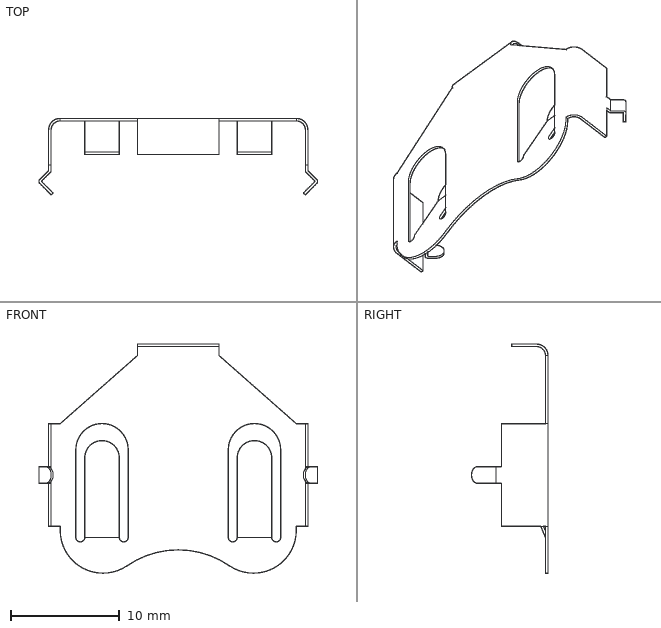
import cadquery as cq
import math


sheet = 0.25
bend_radius = 1.07

half_width = 11.95
plate_half_width = half_width - bend_radius
lobe_radius = 3.95
lobe_x = plate_half_width - lobe_radius
overall_height = 21.12
top_z = overall_height - lobe_radius
plate_top_z = top_z - bend_radius
waist_radius = 8.3

lip_half_width = 3.77
lip_depth = 3.35

wall_height = 9.45
wall_bottom_z = 0.38
wall_top_z = wall_bottom_z + wall_height
wall_depth = 4.3

tail_height = 1.55
tail_z = (wall_bottom_z + wall_top_z) / 2
tail_half_span = 12.845
tail_bend_depth = 4.81
tail_depth = 7.06

finger_x = 7.02
finger_half_width = 1.6
finger_gap = 0.8
finger_base_z = -0.65
finger_bend_z = 6.68
finger_depth = 3.35
slot_radius = finger_half_width + finger_gap
slot_top_z = wall_top_z


def both_sides(body):
    """The body together with its mirror image across X = 0."""
    return body.union(body.mirror("YZ"))


def plate():
    """Flat back plate with chamfered shoulders and two tangent-joined lobes."""
    centre_distance = waist_radius + lobe_radius
    waist_centre_z = -math.sqrt(centre_distance**2 - lobe_x**2)
    tangent_share = lobe_radius / centre_distance
    tangent_x = lobe_x * (1 - tangent_share)
    tangent_z = waist_centre_z * tangent_share
    return (
        cq.Workplane("XZ")
        .moveTo(-lip_half_width, plate_top_z)
        .lineTo(lip_half_width, plate_top_z)
        .lineTo(plate_half_width, wall_top_z)
        .lineTo(plate_half_width, 0)
        .threePointArc((lobe_x, -lobe_radius), (tangent_x, tangent_z))
        .threePointArc((0, waist_centre_z + waist_radius), (-tangent_x, tangent_z))
        .threePointArc((-lobe_x, -lobe_radius), (-plate_half_width, 0))
        .lineTo(-plate_half_width, wall_top_z)
        .close()
        .extrude(sheet)
    )


def finger_slot():
    """Round-topped slot whose two legs run down beside the finger."""
    leg_radius = finger_gap / 2
    arch_centre_z = slot_top_z - slot_radius
    left = finger_x - slot_radius
    right = finger_x + slot_radius
    finger_left = finger_x - finger_half_width
    finger_right = finger_x + finger_half_width
    leg_end_z = finger_base_z - leg_radius
    return (
        cq.Workplane("XZ")
        .moveTo(left, finger_base_z)
        .lineTo(left, arch_centre_z)
        .threePointArc((finger_x, slot_top_z), (right, arch_centre_z))
        .lineTo(right, finger_base_z)
        .threePointArc((right - leg_radius, leg_end_z), (finger_right, finger_base_z))
        .lineTo(finger_left, finger_base_z)
        .threePointArc((left + leg_radius, leg_end_z), (left, finger_base_z))
        .close()
        .extrude(sheet)
    )


def bent_strip(workplane, edge, depth):
    """Quarter bend and straight leg in (across, Y); edge is the outer face position."""
    inner_radius = bend_radius - sheet
    bend_start = edge - bend_radius
    diagonal = math.sqrt(0.5)
    outer_mid = bend_radius * diagonal
    inner_mid = inner_radius * diagonal
    return (
        workplane
        .moveTo(bend_start, 0)
        .threePointArc((bend_start + outer_mid, outer_mid - bend_radius), (edge, -bend_radius))
        .lineTo(edge, -depth)
        .lineTo(edge - sheet, -depth)
        .lineTo(edge - sheet, -bend_radius)
        .threePointArc((bend_start + inner_mid, inner_mid - bend_radius), (bend_start, -sheet))
        .close()
    )


def top_lip():
    """Lip bent forward along the top edge of the plate."""
    profile_plane = cq.Workplane(cq.Plane((-lip_half_width, 0, 0), (0, 0, 1), (-1, 0, 0)))
    return bent_strip(profile_plane, top_z, lip_depth).extrude(-2 * lip_half_width)


def side_wall():
    """Wall bent forward along the +X edge of the plate."""
    profile_plane = cq.Workplane("XY", origin=(0, 0, wall_bottom_z))
    return bent_strip(profile_plane, half_width, wall_depth).extrude(wall_height)


def fold_point(pivot, angle):
    """Point on the outside of a tight fold, one sheet thickness from its inner corner."""
    across, along = pivot
    return across + sheet * math.cos(angle), along + sheet * math.sin(angle)


def solder_tail():
    """Tail with two tight 45-degree folds; the sheet end is a full half-round."""
    fold = math.radians(45)
    skew = sheet * math.sin(fold)
    knee_x = tail_half_span - sheet
    run_out = knee_x + skew - half_width
    knee_y = -(tail_bend_depth + run_out + skew)
    knee = (knee_x, knee_y)
    root = (half_width, -tail_bend_depth)
    run_in = tail_depth + knee_y - skew
    tip_x = knee_x + skew - run_in
    strip = (
        cq.Workplane("XY", origin=(0, 0, tail_z - tail_height / 2))
        .moveTo(half_width, -wall_depth)
        .lineTo(*root)
        .lineTo(*fold_point(knee, fold))
        .threePointArc((tail_half_span, knee_y), fold_point(knee, -fold))
        .lineTo(tip_x, -tail_depth)
        .lineTo(tip_x - skew, -tail_depth + skew)
        .lineTo(*knee)
        .lineTo(*fold_point(root, math.pi + fold))
        .threePointArc(
            fold_point(root, math.pi + fold / 2),
            fold_point(root, math.pi),
        )
        .lineTo(half_width - sheet, -wall_depth)
        .close()
        .extrude(tail_height)
    )
    end_radius = tail_height / 2
    end_centre_x = tip_x + end_radius * math.sin(fold)
    end_centre_y = -tail_depth + end_radius * math.sin(fold)
    end_plane = cq.Plane((end_centre_x, end_centre_y, tail_z), (-1, -1, 0), (1, -1, 0))
    end_block = (
        cq.Workplane(end_plane)
        .center(end_radius / 2, 0)
        .rect(end_radius, tail_height)
        .extrude(sheet, both=True)
    )
    end_round = cq.Workplane(end_plane).circle(end_radius).extrude(sheet, both=True)
    return strip.cut(end_block.cut(end_round))


def spring_finger():
    """Strip leaning forward from the slot foot, ending in an upright half-round tip."""
    back_depth = finger_depth - sheet
    rise = finger_bend_z - finger_base_z
    reach = back_depth - sheet
    lean = math.atan2(reach, rise) + math.asin(sheet / math.hypot(reach, rise))
    tip_top_z = finger_bend_z + finger_half_width
    foot = (-sheet, finger_base_z)
    head = (-back_depth, finger_bend_z)
    strip = (
        cq.Workplane("YZ", origin=(finger_x - finger_half_width, 0, 0))
        .moveTo(0, finger_base_z)
        .lineTo(*foot)
        .lineTo(*fold_point(head, math.pi + lean))
        .threePointArc(
            fold_point(head, math.pi + lean / 2),
            fold_point(head, math.pi),
        )
        .lineTo(-finger_depth, tip_top_z)
        .lineTo(-back_depth, tip_top_z)
        .lineTo(*head)
        .lineTo(*fold_point(foot, lean))
        .threePointArc(fold_point(foot, lean / 2), (0, finger_base_z))
        .close()
        .extrude(2 * finger_half_width)
    )
    outline = (
        cq.Workplane("XZ")
        .moveTo(finger_x - finger_half_width, finger_base_z)
        .lineTo(finger_x + finger_half_width, finger_base_z)
        .lineTo(finger_x + finger_half_width, finger_bend_z)
        .threePointArc((finger_x, tip_top_z), (finger_x - finger_half_width, finger_bend_z))
        .close()
        .extrude(finger_depth)
    )
    return strip.intersect(outline)


sides = side_wall().union(solder_tail())
slotted_plate = plate().cut(both_sides(finger_slot()))
result = (
    slotted_plate
    .union(top_lip())
    .union(both_sides(sides))
    .union(both_sides(spring_finger()))
)